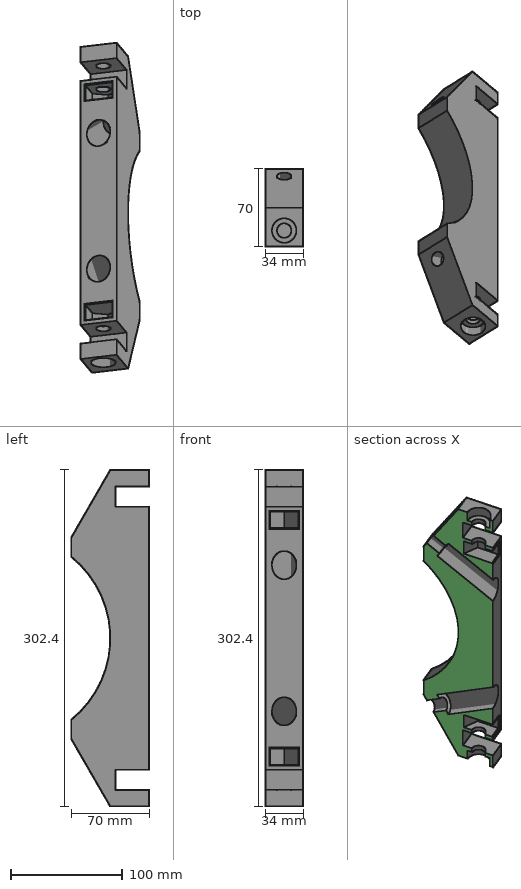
import cadquery as cq
import math

width = 34.0
length = 302.44
half_length = length / 2
front_y = -35.0
back_y = 35.0
flank_angle = 60.0
saddle_radius = 94.0

lug_thickness = 15.0
slot_width = 18.0
slot_depth = 30.0
bolt_diameter = 13.0
head_diameter = 22.0
head_depth = 10.0
bolt_y = front_y + 14.5

nut_wall = 4.6
nut_flats = 25.0
nut_height = 14.5
nut_mouth_chamfer = 1.0

inclined_front_z = 65.7
inclined_seat_thickness = 15.0

flank_foot_z = half_length - back_y * math.tan(math.radians(flank_angle))
saddle_edge_z = math.sqrt(saddle_radius**2 - (saddle_radius - back_y) ** 2)
slot_outer_z = half_length - lug_thickness
slot_inner_z = slot_outer_z - slot_width
slot_floor_y = front_y + slot_depth
nut_top_z = slot_inner_z - nut_wall
nut_bottom_z = nut_top_z - nut_height
nut_middle_z = nut_top_z - nut_height / 2


def make_body():
    """Side profile in the YZ plane, extruded across the width."""
    return (
        cq.Workplane("YZ")
        .moveTo(front_y, half_length)
        .lineTo(0, half_length)
        .lineTo(back_y, flank_foot_z)
        .lineTo(back_y, saddle_edge_z)
        .threePointArc((0, 0), (back_y, -saddle_edge_z))
        .lineTo(back_y, -flank_foot_z)
        .lineTo(0, -half_length)
        .lineTo(front_y, -half_length)
        .lineTo(front_y, -slot_outer_z)
        .lineTo(slot_floor_y, -slot_outer_z)
        .lineTo(slot_floor_y, -slot_inner_z)
        .lineTo(front_y, -slot_inner_z)
        .lineTo(front_y, slot_inner_z)
        .lineTo(slot_floor_y, slot_inner_z)
        .lineTo(slot_floor_y, slot_outer_z)
        .lineTo(front_y, slot_outer_z)
        .close()
        .extrude(width / 2, both=True)
    )


def vertical_cylinder(diameter, bottom_z, top_z):
    """Cylinder on the end bolt axis between two heights."""
    return (
        cq.Workplane("XY", origin=(0, bolt_y, bottom_z))
        .circle(diameter / 2)
        .extrude(top_z - bottom_z)
    )


def make_end_bolt_hole():
    """Counterbored hole through the lug, reaching the floor of the nut pocket."""
    shank = vertical_cylinder(bolt_diameter, nut_bottom_z, half_length)
    head = vertical_cylinder(head_diameter, half_length - head_depth, half_length)
    return shank.union(head)


def make_nut_pocket():
    """Hexagonal seat with a corner pointing to +Y, a straight way in and a chamfered mouth."""
    half_flats = nut_flats / 2
    corner_radius = nut_flats / math.sqrt(3)
    pocket = (
        cq.Workplane("XY", origin=(0, 0, nut_bottom_z))
        .moveTo(-half_flats, front_y)
        .lineTo(half_flats, front_y)
        .lineTo(half_flats, bolt_y + corner_radius / 2)
        .lineTo(0, bolt_y + corner_radius)
        .lineTo(-half_flats, bolt_y + corner_radius / 2)
        .close()
        .extrude(nut_height)
    )
    mouth = (
        cq.Workplane("XZ", origin=(0, front_y, nut_middle_z))
        .rect(nut_flats + 2 * nut_mouth_chamfer, nut_height + 2 * nut_mouth_chamfer)
        .workplane(offset=-nut_mouth_chamfer)
        .rect(nut_flats, nut_height)
        .loft(ruled=True)
    )
    return pocket.union(mouth)


def make_inclined_hole():
    """Stepped hole square to the flank, with the wide head bore open to the front."""
    tilt = math.radians(90 - flank_angle)
    direction = cq.Vector(0, math.cos(tilt), math.sin(tilt))
    start = cq.Vector(0, front_y, inclined_front_z)
    flank_point = cq.Vector(0, 0, half_length)
    to_flank = (flank_point - start).dot(direction)
    overrun = head_diameter
    base = start - direction * overrun
    head = cq.Solid.makeCylinder(
        head_diameter / 2, overrun + to_flank - inclined_seat_thickness, base, direction
    )
    shank = cq.Solid.makeCylinder(bolt_diameter / 2, to_flank + 2 * overrun, base, direction)
    return cq.Workplane(head).union(cq.Workplane(shank))


result = make_body()
for make_cut in (make_end_bolt_hole, make_nut_pocket, make_inclined_hole):
    upper_cut = make_cut()
    result = result.cut(upper_cut).cut(upper_cut.mirror("XY"))